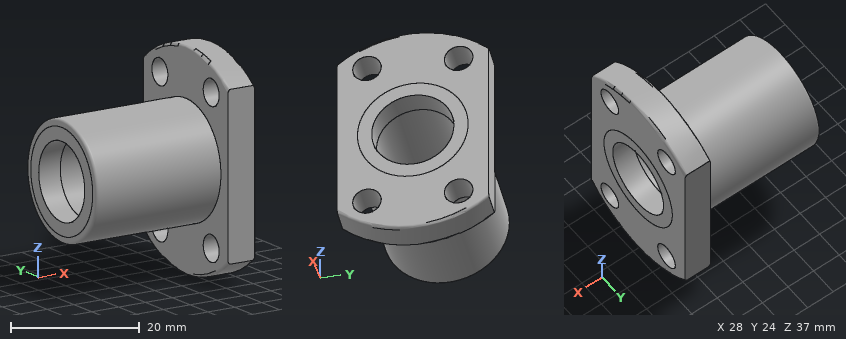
import cadquery as cq
import math

total_length = 28.0
sleeve_diameter = 20.0
bore_diameter = 13.0

flange_diameter = 37.0
flange_width = 24.0
flange_thickness = 5.0
flange_start = total_length - flange_thickness

bolt_circle_diameter = 29.0
bolt_hole_diameter = 4.5
bolt_angles = [60, 120, 240, 300]

ring_diameter = 17.5
ring_thickness = 4.0
ring_starts = [0, total_length - ring_thickness]

edge_radius = 0.5


def cylinder(start, length, diameter):
    """Solid cylinder on the X axis."""
    return cq.Workplane("YZ", origin=(start, 0, 0)).circle(diameter / 2).extrude(length)


def make_flange():
    """Round flange with rounded rims, then cut flat on both Y sides and drilled."""
    disc = cylinder(flange_start, flange_thickness, flange_diameter).edges("%CIRCLE").fillet(edge_radius)
    flats = cq.Workplane("XY").box(2 * total_length, flange_width, 2 * flange_diameter)
    bolt_circle_radius = bolt_circle_diameter / 2
    hole_centers = [
        (
            bolt_circle_radius * math.cos(math.radians(angle)),
            bolt_circle_radius * math.sin(math.radians(angle)),
        )
        for angle in bolt_angles
    ]
    bolt_holes = (
        cq.Workplane("YZ", origin=(flange_start, 0, 0))
        .pushPoints(hole_centers)
        .circle(bolt_hole_diameter / 2)
        .extrude(flange_thickness)
    )
    return disc.intersect(flats).cut(bolt_holes)


def make_housing():
    """Flanged sleeve with a through bore and a ring recess at each end."""
    sleeve = cylinder(0, total_length, sleeve_diameter).faces("<X").edges().fillet(edge_radius)
    housing = sleeve.union(make_flange()).cut(cylinder(0, total_length, bore_diameter))
    for start in ring_starts:
        housing = housing.cut(cylinder(start, ring_thickness, ring_diameter))
    return housing


def make_end_ring(start):
    """Ring that fills an end recess, flush with the end face and the bore."""
    ring = cylinder(start, ring_thickness, ring_diameter)
    return ring.cut(cylinder(start, ring_thickness, bore_diameter))


housing = make_housing()
end_rings = [make_end_ring(start) for start in ring_starts]

result = cq.Compound.makeCompound([housing.val(), *[ring.val() for ring in end_rings]])